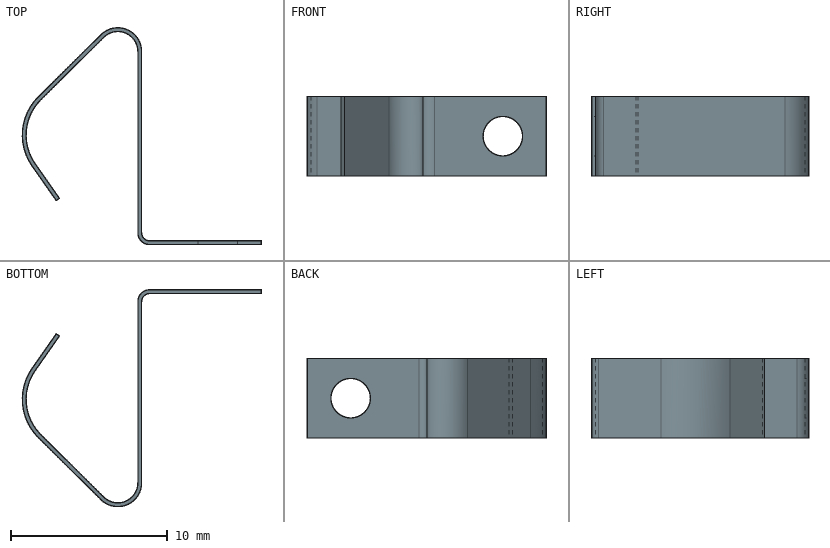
import cadquery as cq
import math

thickness = 0.254
width = 5.08

length_x = 15.24
height_y = 13.84

foot_length = 7.62
foot_bend_inner = 0.508
hole_diameter = 2.5
hole_from_end = 2.77

top_bend_outer = 1.524
belly_outer = 3.429
arm_angle = 44.75
tip_angle = 35.0
tip_length = 2.7

foot_bend_x = foot_bend_inner
foot_bend_y = thickness + foot_bend_inner
top_bend_x = -top_bend_outer
top_bend_y = height_y - top_bend_outer
belly_x = foot_length - length_x + belly_outer

arm_radians = math.radians(arm_angle)
belly_y = (
    top_bend_y
    - (top_bend_x - belly_x) * math.tan(arm_radians)
    - (belly_outer - top_bend_outer) / math.cos(arm_radians)
)
arm_normal = 90 + arm_angle
tip_normal = 180 + tip_angle
belly_middle = (arm_normal + tip_normal) / 2


def polar(center, radius, degrees):
    """Point at the given radius and direction from a center."""
    angle = math.radians(degrees)
    return (center[0] + radius * math.cos(angle), center[1] + radius * math.sin(angle))


def strip_face(depth):
    """Points along one face of the strip, from the foot end to the tip, at a depth below the outer face."""
    foot_center = (foot_bend_x, foot_bend_y)
    top_center = (top_bend_x, top_bend_y)
    belly_center = (belly_x, belly_y)
    foot_radius = foot_bend_inner + depth
    top_radius = top_bend_outer - depth
    belly_radius = belly_outer - depth
    tip_start = polar(belly_center, belly_radius, tip_normal)
    return {
        "foot_end": (foot_length, foot_bend_y - foot_radius),
        "foot_bend": [polar(foot_center, foot_radius, a) for a in (270, 225, 180)],
        "top_bend": [polar(top_center, top_radius, a) for a in (0, arm_normal / 2, arm_normal)],
        "belly": [polar(belly_center, belly_radius, a) for a in (arm_normal, belly_middle, tip_normal)],
        "tip_end": polar(tip_start, tip_length, tip_normal + 90),
    }


def make_strip():
    """Bent strip: its closed profile runs out along the outer face and back along the inner one."""
    outer = strip_face(0)
    inner = strip_face(thickness)
    bends = ["foot_bend", "top_bend", "belly"]

    profile = cq.Workplane("XY").moveTo(*outer["foot_end"])
    for bend in bends:
        start, middle, end = outer[bend]
        profile = profile.lineTo(*start).threePointArc(middle, end)
    profile = profile.lineTo(*outer["tip_end"]).lineTo(*inner["tip_end"])
    for bend in reversed(bends):
        end, middle, start = inner[bend]
        profile = profile.lineTo(*start).threePointArc(middle, end)
    profile = profile.lineTo(*inner["foot_end"]).close()
    return profile.extrude(width)


def make_foot_hole():
    """Cutter for the round mounting hole through the foot, along Y."""
    hole_radius = hole_diameter / 2
    hole_center = cq.Vector(foot_length - hole_from_end, 0, width / 2)
    cutter = cq.Solid.makeCylinder(hole_radius, thickness, hole_center, cq.Vector(0, 1, 0))
    return cq.Workplane(cutter)


result = make_strip().cut(make_foot_hole())